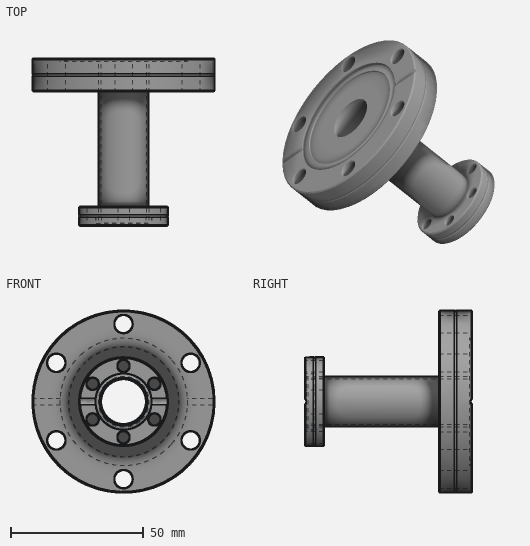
import cadquery as cq
import math

OVERALL_LENGTH = 63.5

EDGE_CHAMFER = 0.5
BOLT_COUNT = 6
BOLT_START_ANGLE = 90.0
BOLT_HOLE_CHAMFER = 0.25
RIM_GROOVE_WIDTH = 0.9
RIM_GROOVE_DEPTH = 0.2
LEAK_GROOVE_WIDTH = 2.4
LEAK_GROOVE_DEPTH = 0.6

SEAL_DEPTH = 1.1
KNIFE_TIP_DEPTH = 0.6
KNIFE_LAND_DEPTH = 1.2
KNIFE_INNER_SLOPE = 0.15

TUBE_DIAMETER = 19.1
TUBE_BORE = 17.2

SMALL_DIAMETER = 33.8
SMALL_THICKNESS = 7.5
SMALL_BOLT_CIRCLE = 27.0
SMALL_BOLT_HOLE = 4.4
RING_BORE = 19.2
RING_RECESS_DIAMETER = 21.4
RING_RECESS_DEPTH = 3.5
INSERT_DIAMETER = 21.1
INSERT_BORE = 16.8
SMALL_KNIFE_DIAMETER = 18.3

LARGE_DIAMETER = 69.1
LARGE_THICKNESS = 12.7
LARGE_BOLT_CIRCLE = 58.7
LARGE_BOLT_HOLE = 6.7
LARGE_RECESS_DIAMETER = 48.26
LARGE_KNIFE_DIAMETER = 41.9

LARGE_FRONT = OVERALL_LENGTH - LARGE_THICKNESS


def revolve_about_y(profile):
    """Turn a closed (radius, y) profile a full turn about the Y axis."""
    return profile.close().revolve(360, (0, 0, 0), (0, 1, 0))


def cylinder(diameter, start, length):
    """Cylinder along Y from y = start to y = start + length."""
    axis = cq.Vector(0, 1, 0)
    return cq.Workplane(cq.Solid.makeCylinder(diameter / 2, length, cq.Vector(0, start, 0), axis))


def flange_blank(diameter, front, thickness):
    """Disc with chamfered edges and a shallow round groove around the middle of its rim."""
    radius = diameter / 2
    back = front + thickness
    middle = (front + back) / 2
    half_groove = RIM_GROOVE_WIDTH / 2
    profile = (
        cq.Workplane("XY")
        .moveTo(0, front)
        .lineTo(radius - EDGE_CHAMFER, front)
        .lineTo(radius, front + EDGE_CHAMFER)
        .lineTo(radius, middle - half_groove)
        .threePointArc((radius - RIM_GROOVE_DEPTH, middle), (radius, middle + half_groove))
        .lineTo(radius, back - EDGE_CHAMFER)
        .lineTo(radius - EDGE_CHAMFER, back)
        .lineTo(0, back)
    )
    return revolve_about_y(profile)


def cut_bolt_holes(flange, circle, hole, front, thickness):
    """Cut the ring of through holes, chamfered at both faces."""
    radius = hole / 2
    mouth = radius + BOLT_HOLE_CHAMFER
    back = front + thickness
    cutter = revolve_about_y(
        cq.Workplane("XY")
        .moveTo(0, front)
        .lineTo(mouth, front)
        .lineTo(radius, front + BOLT_HOLE_CHAMFER)
        .lineTo(radius, back - BOLT_HOLE_CHAMFER)
        .lineTo(mouth, back)
        .lineTo(0, back)
    )
    for index in range(BOLT_COUNT):
        angle = math.radians(BOLT_START_ANGLE + index * 360.0 / BOLT_COUNT)
        offset = (circle / 2 * math.cos(angle), 0, circle / 2 * math.sin(angle))
        flange = flange.cut(cutter.translate(offset))
    return flange


def cut_leak_groove(flange, diameter, face, inward):
    """Cut the round-bottomed leak-check groove across a face; inward is +1 or -1 along Y."""
    half_width = LEAK_GROOVE_WIDTH / 2
    groove_radius = (half_width**2 + LEAK_GROOVE_DEPTH**2) / (2 * LEAK_GROOVE_DEPTH)
    axis_y = face - inward * (groove_radius - LEAK_GROOVE_DEPTH)
    groove = cq.Solid.makeCylinder(
        groove_radius, diameter, cq.Vector(-diameter / 2, axis_y, 0), cq.Vector(1, 0, 0)
    )
    return flange.cut(cq.Workplane(groove))


def make_small_ring():
    """Outer ring of the rotatable flange, stepped to hold the insert and pass the tube."""
    ring = flange_blank(SMALL_DIAMETER, 0, SMALL_THICKNESS)
    ring = cut_bolt_holes(ring, SMALL_BOLT_CIRCLE, SMALL_BOLT_HOLE, 0, SMALL_THICKNESS)
    ring = cut_leak_groove(ring, SMALL_DIAMETER, 0, 1)
    ring = ring.cut(cylinder(RING_RECESS_DIAMETER, 0, RING_RECESS_DEPTH))
    return ring.cut(cylinder(RING_BORE, 0, SMALL_THICKNESS))


def make_insert():
    """Knife-edge insert, seated on the ring's shoulder and against the end of the tube."""
    tip_radius = SMALL_KNIFE_DIAMETER / 2
    profile = (
        cq.Workplane("XY")
        .moveTo(INSERT_BORE / 2, KNIFE_LAND_DEPTH)
        .lineTo(tip_radius - KNIFE_INNER_SLOPE, KNIFE_LAND_DEPTH)
        .lineTo(tip_radius, KNIFE_TIP_DEPTH)
        .lineTo(INSERT_DIAMETER / 2, SEAL_DEPTH)
        .lineTo(INSERT_DIAMETER / 2, RING_RECESS_DEPTH)
        .lineTo(INSERT_BORE / 2, RING_RECESS_DEPTH)
    )
    return revolve_about_y(profile)


def make_tube():
    """Plain tube from the insert to the land inside the large flange's knife edge."""
    length = OVERALL_LENGTH - KNIFE_LAND_DEPTH - RING_RECESS_DEPTH
    tube = cylinder(TUBE_DIAMETER, RING_RECESS_DEPTH, length)
    return tube.cut(cylinder(TUBE_BORE, RING_RECESS_DEPTH, length))


def make_large_flange():
    """Fixed flange with a knife edge in its outer face, bored to take the tube."""
    flange = flange_blank(LARGE_DIAMETER, LARGE_FRONT, LARGE_THICKNESS)
    flange = cut_bolt_holes(flange, LARGE_BOLT_CIRCLE, LARGE_BOLT_HOLE, LARGE_FRONT, LARGE_THICKNESS)
    flange = cut_leak_groove(flange, LARGE_DIAMETER, OVERALL_LENGTH, -1)
    tip_radius = LARGE_KNIFE_DIAMETER / 2
    recess = revolve_about_y(
        cq.Workplane("XY")
        .moveTo(0, OVERALL_LENGTH)
        .lineTo(LARGE_RECESS_DIAMETER / 2, OVERALL_LENGTH)
        .lineTo(LARGE_RECESS_DIAMETER / 2, OVERALL_LENGTH - SEAL_DEPTH)
        .lineTo(tip_radius, OVERALL_LENGTH - KNIFE_TIP_DEPTH)
        .lineTo(tip_radius - KNIFE_INNER_SLOPE, OVERALL_LENGTH - KNIFE_LAND_DEPTH)
        .lineTo(0, OVERALL_LENGTH - KNIFE_LAND_DEPTH)
    )
    flange = flange.cut(recess)
    return flange.cut(cylinder(TUBE_DIAMETER, LARGE_FRONT, LARGE_THICKNESS))


small_ring = make_small_ring()
insert = make_insert()
tube = make_tube()
large_flange = make_large_flange()

result = cq.Compound.makeCompound([small_ring.val(), insert.val(), tube.val(), large_flange.val()])